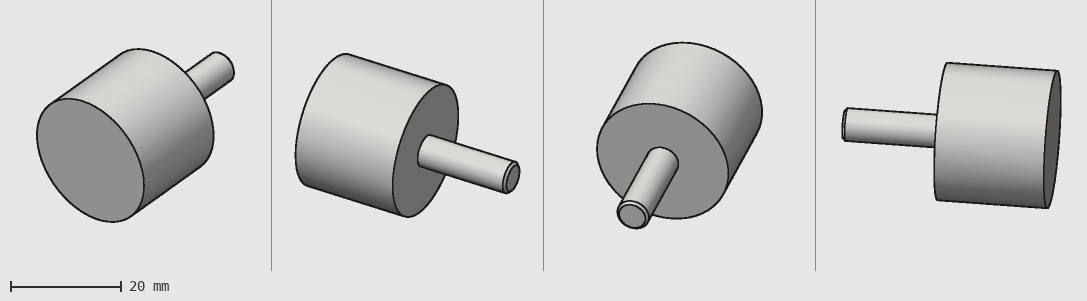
import cadquery as cq

buffer_diameter = 25.0
buffer_length = 20.0
stud_diameter = 6.0
stud_length = 18.0
stud_tip_chamfer = 0.5


def cylinder_along_y(diameter, length, start_y):
    """Solid cylinder on the Y axis, from start_y toward +Y."""
    base_plane = cq.Plane(origin=(0, start_y, 0), xDir=(1, 0, 0), normal=(0, 1, 0))
    return cq.Workplane(base_plane).circle(diameter / 2).extrude(length)


def make_buffer():
    """Plain cylindrical buffer with its back face at Y = 0."""
    return cylinder_along_y(buffer_diameter, buffer_length, -buffer_length)


def make_stud():
    """Stud standing on the back face of the buffer, chamfered at its free end."""
    stud = cylinder_along_y(stud_diameter, stud_length, 0)
    return stud.faces(">Y").chamfer(stud_tip_chamfer)


buffer = make_buffer()
stud = make_stud()

result = cq.Compound.makeCompound([buffer.val(), stud.val()])